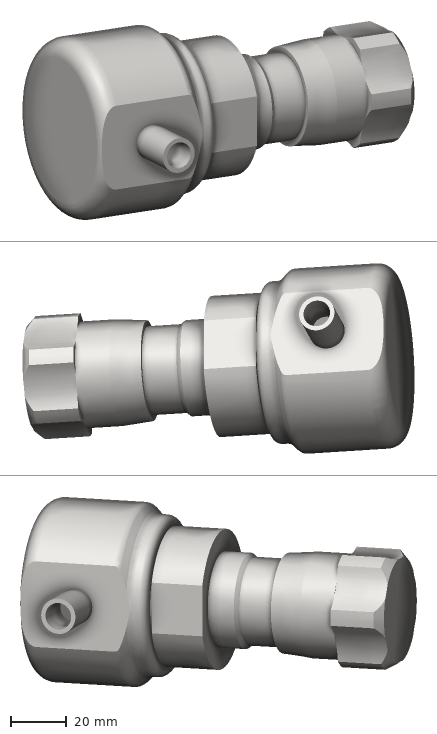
import cadquery as cq
import math

overall_length = 134.3
overall_width = 98.3

body_radius = 33.3
body_edge_fillet = 6.5
body_flat_offset = 29.4
cap_radius = 29.3
shoulder_back = 41.4
shoulder_front = shoulder_back - (body_radius - cap_radius)
shoulder_fillet = 3.0
cap_back = 47.5
cap_edge_fillet = 2.8

spacer_radius = 23.5
collar_front = 48.2
collar_back = 67.3
collar_radius = 25.4
collar_flat_offset = 23.6

stem_base_radius = 17.3
stem_radius = 16.0
stem_chamfer_front = 77.1
stem_chamfer_back = 78.7
sleeve_front = 91.3
sleeve_front_radius = 18.1
sleeve_taper_back = 102.6
sleeve_radius = 19.2

knob_front = 115.1
knob_radius = 22.2
knob_chamfer = 3.0
lobe_count = 6
lobe_half_width = 3.0
scallop_floor = 18.8

tube_position = 21.2
tube_radius = 6.5
bore_radius = 4.8
bore_depth = 17.5


def cylinder_along_y(radius, front, back):
    return cq.Workplane("XZ", origin=(0, front, 0)).circle(radius).extrude(front - back)


def with_side_flats(solid, flat_offset):
    """Keep only the part of a solid between two planes at X = +/- flat_offset."""
    slab = cq.Workplane("XY").box(2 * flat_offset, 2 * overall_length, 4 * body_radius)
    return solid.intersect(slab)


def make_body():
    profile = [
        (0, 0),
        (body_radius, 0),
        (body_radius, shoulder_front),
        (cap_radius, shoulder_back),
        (cap_radius, cap_back),
        (0, cap_back),
    ]
    body = cq.Workplane("XY").polyline(profile).close().revolve(360, (0, 0, 0), (0, 1, 0))

    def circular_edge(radius, position):
        tolerance = 0.1
        reach = radius + tolerance
        return cq.selectors.BoxSelector(
            (-reach, position - tolerance, -reach),
            (reach, position + tolerance, reach),
            boundingbox=True,
        )

    body = body.edges(circular_edge(body_radius, 0)).fillet(body_edge_fillet)
    body = body.edges(circular_edge(cap_radius, cap_back)).fillet(cap_edge_fillet)
    body = body.edges(circular_edge(body_radius, shoulder_front)).fillet(shoulder_fillet)
    body = body.edges(circular_edge(cap_radius, shoulder_back)).fillet(shoulder_fillet)
    return with_side_flats(body, body_flat_offset)


def make_collar():
    spacer = cylinder_along_y(spacer_radius, cap_back, collar_front)
    collar = cylinder_along_y(collar_radius, collar_front, collar_back)
    return spacer.union(with_side_flats(collar, collar_flat_offset))


def make_stem_and_sleeve():
    profile = [
        (0, collar_back),
        (stem_base_radius, collar_back),
        (stem_base_radius, stem_chamfer_front),
        (stem_radius, stem_chamfer_back),
        (stem_radius, sleeve_front),
        (sleeve_front_radius, sleeve_front),
        (sleeve_radius, sleeve_taper_back),
        (sleeve_radius, knob_front),
        (0, knob_front),
    ]
    return cq.Workplane("XY").polyline(profile).close().revolve(360, (0, 0, 0), (0, 1, 0))


def make_knob():
    knob = cylinder_along_y(knob_radius, knob_front, overall_length)
    knob = knob.faces(">Y").edges().chamfer(knob_chamfer)

    lobe_pitch = 2 * math.pi / lobe_count
    half_angle = lobe_pitch / 2 - math.asin(lobe_half_width / knob_radius)
    half_chord = knob_radius * math.sin(half_angle)
    chord_height = knob_radius * math.cos(half_angle)
    depth = chord_height - scallop_floor
    scallop_radius = (half_chord**2 + depth**2) / (2 * depth)
    scallop_centre = scallop_floor + scallop_radius

    for index in range(lobe_count):
        angle = (index + 0.5) * lobe_pitch
        centre_x = scallop_centre * math.cos(angle)
        centre_z = scallop_centre * math.sin(angle)
        scallop = cylinder_along_y(scallop_radius, knob_front, overall_length)
        knob = knob.cut(scallop.translate((centre_x, 0, centre_z)))
    return knob


def make_tubes():
    section = cq.Workplane("YZ").center(tube_position, 0)
    return section.circle(tube_radius).extrude(overall_width / 2, both=True)


def make_bores():
    bores = cq.Workplane("YZ").center(tube_position, 0).circle(bore_radius)
    bores = bores.extrude(overall_width / 2, both=True)
    solid_core = cq.Workplane("XY").box(
        overall_width - 2 * bore_depth, 2 * overall_length, 4 * body_radius
    )
    return bores.cut(solid_core)


result = (
    make_body()
    .union(make_collar())
    .union(make_stem_and_sleeve())
    .union(make_knob())
    .union(make_tubes())
    .cut(make_bores())
)